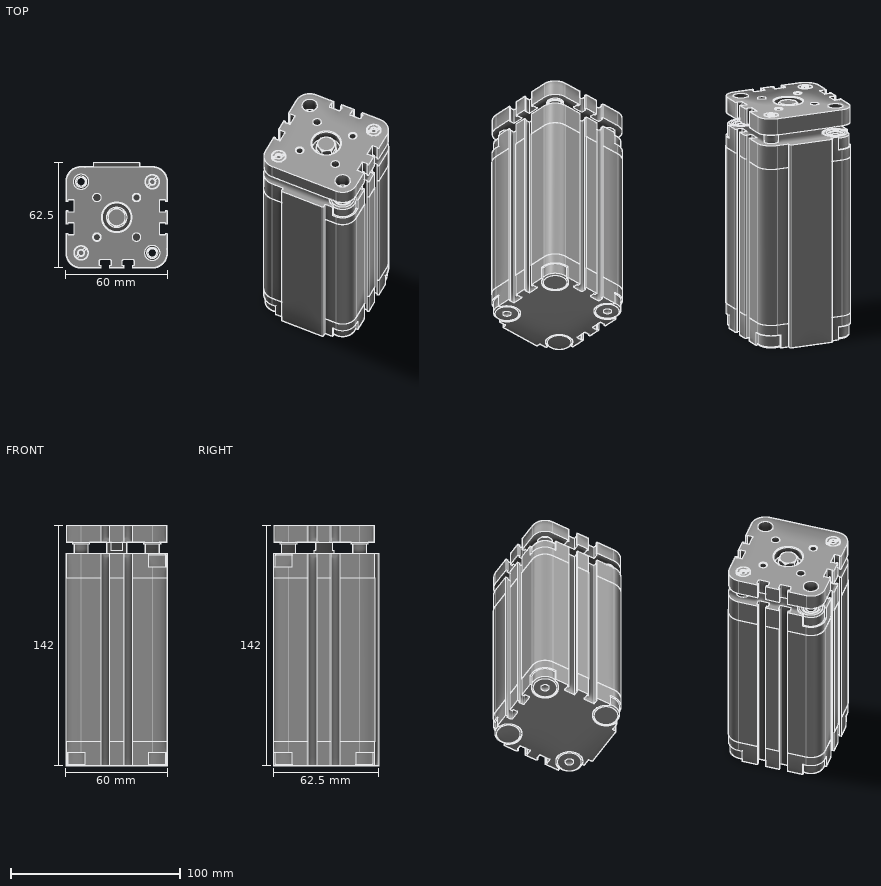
import cadquery as cq

overall_height = 142.0
plate_thickness = 10.0
body_height = 125.5
end_cap_height = 14.5
plate_bottom = overall_height - plate_thickness
top_cap_bottom = body_height - end_cap_height

barrel_width = 60.0
cap_width = 59.8
plate_width = 59.4
corner_center = 21.0

slot_spacing = 13.5
slot_inner_width = 7.0
front_mouth_width = 5.0
front_slot_depth = 5.0
front_lip = 1.7
front_floor_radius = 0.7
side_mouth_width = 5.4
side_slot_depth = 4.7
side_lip = 1.3
side_mouth_radius = 0.7

rail_width = 27.5
rail_height = 2.5
rail_radius = 0.7

relief_edge = 18.8
boss_diameter = 16.0
boss_chamfer = 1.0
relief_height = 8.0
mount_hole_diameter = 4.92
mount_sink_diameter = 6.6
mount_dish_diameter = 11.0
mount_dish_floor_diameter = 9.0
mount_dish_depth = 0.5

rod_bottom = top_cap_bottom
rod_diameter = 12.0
rod_flats_width = 10.0
rod_flats_bottom = plate_bottom - 4.75
hex_width = 10.0
hex_top = overall_height - 0.8
hex_chamfer = 0.5

recess_diameter = 17.0
recess_depth = 6.5
recess_chamfer = 0.5
recess_floor = overall_height - recess_depth
seat_height = 1.0

guide_diameter = 8.4
guide_collar_diameter = 10.1
guide_collar_height = 1.0
guide_groove_outer = 8.57
guide_groove_inner = 8.0
guide_groove_depth = 1.0
guide_bore_diameter = 3.3
guide_bore_sink_diameter = 4.13
guide_bore_depth = 1.5
guide_slot_width = 1.2
guide_slot_depth = 0.5

access_hole_diameter = 9.0
pattern_offset = 11.7
pin_hole_diameter = 5.0
thread_bore_diameter = 4.13
thread_sink_diameter = 5.0


def falling_diagonal(offset):
    """Points in the back-left and front-right quadrants."""
    return [(-offset, offset), (offset, -offset)]


def rising_diagonal(offset):
    """Points in the front-left and back-right quadrants."""
    return [(-offset, -offset), (offset, offset)]


def at_height(height):
    return cq.Workplane("XY").workplane(offset=height)


def cylinder(diameter, bottom, top, points=((0, 0),)):
    """Upright cylinders between two heights."""
    return at_height(bottom).pushPoints(list(points)).circle(diameter / 2).extrude(top - bottom)


def countersink(large_diameter, small_diameter, top, points=((0, 0),)):
    """45 degree countersinks, widest at the given height."""
    depth = (large_diameter - small_diameter) / 2
    return at_height(top).pushPoints(list(points)).circle(large_diameter / 2).extrude(-depth, taper=45)


def slot_pair(mouth_width, depth, lip, bottom, top):
    """Two T-slots on the -Y side, open outwards."""
    height = top - bottom
    surface = -barrel_width / 2
    centers = [(-slot_spacing / 2, 0), (slot_spacing / 2, 0)]
    chamber = (
        at_height(bottom).center(0, surface + (depth + lip) / 2).pushPoints(centers)
        .rect(slot_inner_width, depth - lip).extrude(height)
    )
    mouth = (
        at_height(bottom).center(0, surface + lip / 2).pushPoints(centers)
        .rect(mouth_width, lip).extrude(height)
    )
    return chamber, mouth


def slotted_prism(width, bottom, top):
    """Square column with rounded corners and two T-slots on the -X, +X and -Y sides."""
    height = top - bottom
    column = (
        at_height(bottom).rect(width, width).extrude(height)
        .edges("|Z").fillet(width / 2 - corner_center)
    )
    chamber, mouth = slot_pair(front_mouth_width, front_slot_depth, front_lip, bottom, top)
    column = column.cut(chamber.edges("|Z and >Y").fillet(front_floor_radius)).cut(mouth)

    chamber, mouth = slot_pair(side_mouth_width, side_slot_depth, side_lip, bottom, top)
    right_slots = chamber.union(mouth).rotate((0, 0, 0), (0, 0, 1), 90)
    column = column.cut(right_slots).cut(right_slots.mirror("YZ"))
    return round_side_mouths(column, width)


def round_side_mouths(column, width):
    """Round the -Y edge of each side slot mouth."""
    for center in (-slot_spacing / 2, slot_spacing / 2):
        edge_y = center - side_mouth_width / 2
        for side in (-1, 1):
            edge = cq.selectors.NearestToPointSelector(
                (side * width / 2, edge_y, column.val().Center().z)
            )
            column = column.edges("|Z").edges(edge).fillet(side_mouth_radius)
    return column


def corner_relief(corner, end, height):
    """Cap corner removed around a round boss; `height` runs inwards from the `end` face."""
    x, y = corner
    reach = barrel_width / 2
    offset = (relief_edge + reach / 2) / corner_center
    block = at_height(end).center(x * offset, y * offset).rect(reach, reach).extrude(height)
    boss = at_height(end).center(x, y).circle(boss_diameter / 2).extrude(height)
    return block.cut(boss)


def boss_edge(corner, end, inward):
    """Ring that chamfers the boss at the `end` face; `inward` is the direction into the cap."""
    x, y = corner
    chamfer = boss_chamfer * inward
    ring = at_height(end).center(x, y).circle(boss_diameter / 2).extrude(chamfer)
    cone = at_height(end + chamfer).center(x, y).circle(boss_diameter / 2).extrude(-chamfer, taper=45)
    return ring.cut(cone)


def make_housing():
    """Barrel, both end caps and the rail as one solid."""
    housing = slotted_prism(cap_width, 0, end_cap_height)
    housing = housing.union(slotted_prism(barrel_width, end_cap_height, top_cap_bottom))
    housing = housing.union(slotted_prism(cap_width, top_cap_bottom, body_height))

    rail_top = barrel_width / 2 + rail_height
    rail_depth = rail_top - corner_center
    rail = (
        cq.Workplane("XY").center(0, rail_top - rail_depth / 2)
        .rect(rail_width, rail_depth).extrude(body_height)
        .edges("|Z and >Y").fillet(rail_radius)
    )
    housing = housing.union(rail)

    mount_corners = falling_diagonal(corner_center)
    guide_corners = rising_diagonal(corner_center)
    for corner in mount_corners:
        housing = housing.cut(corner_relief(corner, body_height, -relief_height))
        housing = housing.cut(boss_edge(corner, body_height, -1))
    for corner in mount_corners + guide_corners:
        housing = housing.cut(corner_relief(corner, 0, relief_height))
        housing = housing.cut(boss_edge(corner, 0, 1))

    housing = housing.cut(cylinder(mount_hole_diameter, 0, body_height, mount_corners))
    dish_floor = body_height - mount_dish_depth
    dish = (
        at_height(dish_floor).circle(mount_dish_floor_diameter / 2)
        .workplane(offset=mount_dish_depth).circle(mount_dish_diameter / 2).loft()
    )
    for x, y in mount_corners:
        housing = housing.cut(dish.translate((x, y, 0)))
    housing = housing.cut(countersink(mount_sink_diameter, mount_hole_diameter, dish_floor, mount_corners))

    housing = housing.cut(cylinder(rod_diameter, rod_bottom, body_height))
    housing = housing.cut(cylinder(guide_diameter, rod_bottom, body_height, guide_corners))
    return housing


def make_piston_rod():
    """Round rod with two flats below the plate."""
    rod = cylinder(rod_diameter, rod_bottom, plate_bottom)
    flats_height = plate_bottom - rod_flats_bottom
    flats = (
        at_height(rod_flats_bottom).rect(2 * rod_diameter, 2 * rod_diameter)
        .rect(2 * rod_diameter, rod_flats_width).extrude(flats_height)
    )
    return rod.cut(flats)


def make_rod_end():
    """Round seat and chamfered hexagon standing in the center recess."""
    seat_top = recess_floor + seat_height
    seat = cylinder(rod_diameter, recess_floor, seat_top)
    hexagon = at_height(seat_top).polygon(6, hex_width, circumscribed=True).extrude(hex_top - seat_top)
    crown = cylinder(hex_width + 2 * hex_chamfer, seat_top, hex_top).faces(">Z").chamfer(hex_chamfer)
    crown = crown.union(cylinder(2 * hex_width, seat_top, hex_top - hex_chamfer))
    return seat.union(hexagon.intersect(crown))


def guide_rod_ends(plate, corners):
    """Groove, driver slot and center bore at the top of each guide rod."""
    groove_floor = overall_height - guide_groove_depth
    groove = cylinder(guide_groove_outer, groove_floor, overall_height, corners)
    groove = groove.cut(cylinder(guide_groove_inner, groove_floor, overall_height, corners))
    plate = plate.cut(groove)
    for x, y in corners:
        slot = (
            at_height(overall_height).center(x, y).transformed(rotate=(0, 0, 45))
            .rect(guide_diameter, guide_slot_width).extrude(-guide_slot_depth)
        )
        plate = plate.cut(slot)
    bore_floor = overall_height - guide_bore_depth
    plate = plate.cut(cylinder(guide_bore_diameter, bore_floor, overall_height, corners))
    return plate.cut(countersink(guide_bore_sink_diameter, guide_bore_diameter, overall_height, corners))


def make_yoke():
    """Yoke plate with the piston rod and both guide rods as one solid."""
    yoke = slotted_prism(plate_width, plate_bottom, overall_height)
    yoke = yoke.cut(cylinder(recess_diameter, recess_floor, overall_height))
    yoke = yoke.cut(
        countersink(recess_diameter + 2 * recess_chamfer, recess_diameter, overall_height)
    )
    yoke = yoke.union(make_rod_end()).union(make_piston_rod())

    guide_corners = rising_diagonal(corner_center)
    yoke = yoke.union(cylinder(guide_diameter, rod_bottom, plate_bottom, guide_corners))
    collar_bottom = plate_bottom - guide_collar_height
    yoke = yoke.union(cylinder(guide_collar_diameter, collar_bottom, plate_bottom, guide_corners))
    yoke = guide_rod_ends(yoke, guide_corners)

    thread_points = rising_diagonal(pattern_offset)
    through_holes = [
        (access_hole_diameter, falling_diagonal(corner_center)),
        (pin_hole_diameter, falling_diagonal(pattern_offset)),
        (thread_bore_diameter, thread_points),
    ]
    for diameter, points in through_holes:
        yoke = yoke.cut(cylinder(diameter, plate_bottom, overall_height, points))
    return yoke.cut(
        countersink(thread_sink_diameter, thread_bore_diameter, overall_height, thread_points)
    )


housing = make_housing()
yoke = make_yoke()
result = cq.Compound.makeCompound([housing.val(), yoke.val()])